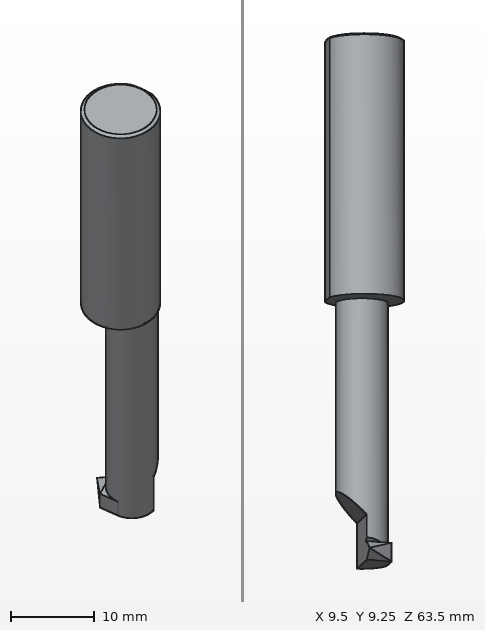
import cadquery as cq

length = 63.5
shank_radius = 4.75
flat_offset = 4.5
shank_length = 31.75
chamfer_width = 0.45
chamfer_height = 0.25

neck_diameter = 6.3
neck_radius = neck_diameter / 2
neck_x = shank_radius - neck_radius
neck_left = neck_x - neck_radius
half_height = 5.5

tooth_height = 2.3
tooth_corner_x = -0.9
tip_x = -3.35

notch_depth = 0.6
notch_height = 0.45


def make_shank():
    bottom = length - shank_length
    shank = cq.Workplane("XY").workplane(offset=bottom).circle(shank_radius).extrude(shank_length)
    shank = shank.faces(">Z").chamfer(chamfer_height, chamfer_width)
    width = 2 * shank_radius
    keep = cq.Workplane("XY").box(width, width, length, centered=(True, False, False))
    return shank.intersect(keep.translate((0, flat_offset - width, 0)))


def make_neck():
    neck = cq.Workplane("XY").center(neck_x, 0).circle(neck_radius).extrude(length - shank_length)
    relief = (
        cq.Workplane("YZ", origin=(neck_left, 0, 0))
        .polyline([(0, 0), (neck_radius, 0), (neck_radius, half_height + neck_radius), (0, half_height)])
        .close()
        .extrude(neck_diameter)
    )
    notch = (
        cq.Workplane("XZ", origin=(neck_left, 0, tooth_height))
        .polyline([(0, 0), (notch_depth, 0), (0, notch_height)])
        .close()
        .extrude(neck_radius)
    )
    return neck.cut(relief).cut(notch)


def flat_face(corners):
    return cq.Face.makeFromWires(cq.Wire.makePolygon(corners, close=True))


def make_tooth():
    body = (
        cq.Workplane("XY")
        .polyline([(neck_left, 0), (tooth_corner_x, -neck_radius), (neck_x, -neck_radius), (neck_x, 0)])
        .close()
        .extrude(tooth_height)
    )
    tip = (tip_x, 0, tooth_height / 2)
    base_corners = [
        (neck_left, 0, 0),
        (tooth_corner_x, -neck_radius, 0),
        (tooth_corner_x, -neck_radius, tooth_height),
        (neck_left, 0, tooth_height),
    ]
    faces = [flat_face(base_corners)]
    for index, corner in enumerate(base_corners):
        faces.append(flat_face([base_corners[index - 1], corner, tip]))
    pyramid = cq.Solid.makeSolid(cq.Shell.makeShell(faces))
    return body.union(cq.Workplane(obj=pyramid))


result = make_shank().union(make_neck()).union(make_tooth())